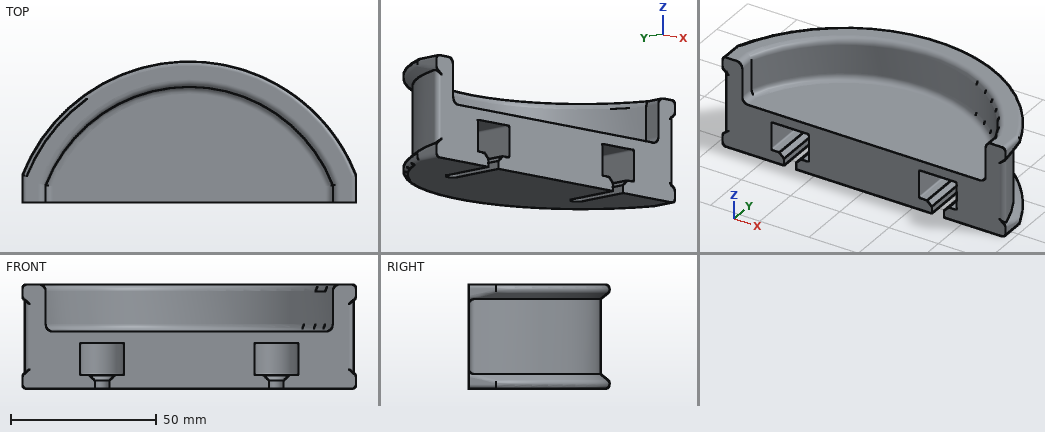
import cadquery as cq
import math

width = 115.0
depth = 48.6
height = 36.0
half_width = width / 2

tolerance = 0.01

rim_radius = 61.8
axis_y = depth - rim_radius
flange_thickness = 2.5
flange_fillet = 1.5

groove_depth = 3.1
groove_wall_height = 2.5
groove_radius = rim_radius - groove_depth
groove_end_fillet = 1.6

pocket_radius = 53.0
pocket_half_width = 49.5
pocket_floor = 19.8
pocket_fillet = 2.4

slot_spacing = 60.0
slot_length = 20.0
head_width = 15.2
head_bottom = 4.7
head_top = 15.9
head_fillet = 0.6
neck_width = 5.0
neck_top = 2.8
countersink_width = 8.7


def trimmed_disc(radius, half_x, z_bottom, z_top):
    """Part of a disc about the rim axis that lies behind y = 0 and within half_x of the middle."""
    thickness = z_top - z_bottom
    disc = cq.Workplane("XY").center(0, axis_y).circle(radius).extrude(thickness)
    limits = cq.Workplane("XY").box(2 * half_x, radius, thickness, centered=(True, False, False))
    return disc.intersect(limits).translate((0, 0, z_bottom))


def behind_front_face(edges):
    """Keep the edges that reach behind the flat front face."""
    return [edge for edge in edges if edge.BoundingBox().ymax > tolerance]


def make_groove():
    """Ring with sloped walls that leaves a flange at each end of the rim."""
    outside = rim_radius + groove_depth
    return (
        cq.Workplane("XZ")
        .moveTo(outside, flange_thickness - groove_wall_height)
        .lineTo(groove_radius, flange_thickness + groove_wall_height)
        .lineTo(groove_radius, height - flange_thickness - groove_wall_height)
        .lineTo(outside, height - flange_thickness + groove_wall_height)
        .close()
        .revolve(360, (0, 0, 0), (0, 1, 0))
        .translate((0, axis_y, 0))
    )


def round_groove_ends(body):
    """Round the upright front edges where the groove floor meets the flat face."""
    groove_floor_height = height - 2 * (flange_thickness + groove_wall_height)
    groove_ends = [
        edge
        for edge in body.faces("<Y").edges("|Z").vals()
        if abs(edge.Length() - groove_floor_height) < tolerance
    ]
    return body.newObject(groove_ends).fillet(groove_end_fillet)


def round_flanges(body):
    """Round the flange edges along the arched rim and the straight sides."""
    rim_edges = [
        edge
        for edge in body.edges("%CIRCLE").vals()
        if abs(edge.radius() - rim_radius) < tolerance
    ]
    side_edges = body.faces("<X or >X").edges("not |Z").vals()
    return body.newObject(behind_front_face(rim_edges + side_edges)).fillet(flange_fillet)


def cut_pocket(body):
    """Cut the tray pocket, rounding its floor corner and its top edge."""
    pocket = trimmed_disc(pocket_radius, pocket_half_width, pocket_floor, height)
    floor_edges = behind_front_face(pocket.faces("<Z").edges().vals())
    body = body.cut(pocket.newObject(floor_edges).fillet(pocket_fillet))
    mouth_edges = [
        edge
        for edge in body.faces(">Z").edges().vals()
        if edge.BoundingBox().xmax - edge.BoundingBox().xmin < 2 * pocket_half_width + tolerance
        and abs(edge.Center().x) < pocket_half_width + tolerance
    ]
    return body.newObject(behind_front_face(mouth_edges)).fillet(pocket_fillet)


def round_ended_slot(slot_width, z_bottom, z_top):
    """Slot running back from the front face to a half-round end."""
    slot_height = z_top - z_bottom
    straight = cq.Workplane("XY").box(slot_width, slot_length, slot_height, centered=(True, False, False))
    end = cq.Workplane("XY").center(0, slot_length).circle(slot_width / 2).extrude(slot_height)
    return straight.union(end).translate((0, 0, z_bottom))


def make_keyhole_slot():
    """Wide slot for a screw head above a countersunk neck for its shank."""
    head = round_ended_slot(head_width, head_bottom, head_top)
    head_edges = behind_front_face(head.faces("<Z or >Z").edges().vals())
    head = head.newObject(head_edges).fillet(head_fillet)
    neck = round_ended_slot(neck_width, 0, head_bottom)
    flare = (countersink_width - neck_width) / 2
    countersink = round_ended_slot(countersink_width, neck_top, head_bottom)
    countersink_edges = behind_front_face(countersink.faces("<Z").edges().vals())
    countersink = countersink.newObject(countersink_edges).chamfer(head_bottom - neck_top - tolerance, flare)
    return head.union(neck).union(countersink)


body = trimmed_disc(rim_radius, half_width, 0, height).cut(make_groove())
body = round_groove_ends(body)
body = round_flanges(body)
body = cut_pocket(body)
for side in (-1, 1):
    body = body.cut(make_keyhole_slot().translate((side * slot_spacing / 2, 0, 0)))

result = body